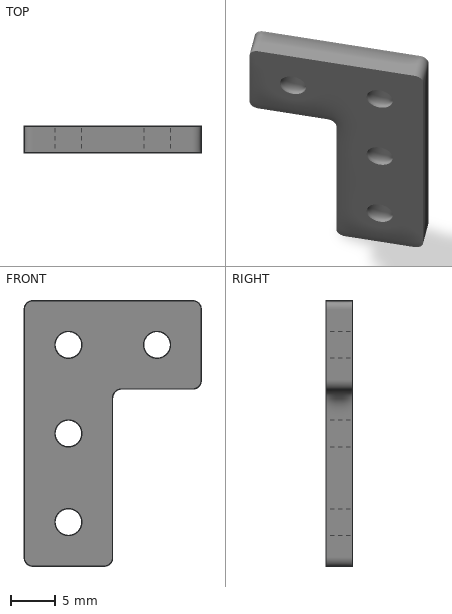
import cadquery as cq

height = 30.0
pitch = height / 3
width = 2 * pitch
thickness = 3.0
corner_radius = 1.0
hole_diameter = 3.0

outline = [
    (0, 0),
    (pitch, 0),
    (pitch, height - pitch),
    (width, height - pitch),
    (width, height),
    (0, height),
]

first_centre = pitch / 2
hole_centres = [(first_centre, first_centre + row * pitch) for row in range(3)]
hole_centres.append((first_centre + pitch, height - first_centre))

plate = cq.Workplane("XZ").polyline(outline).close().extrude(-thickness)
plate = plate.edges("|Y").fillet(corner_radius)

holes = (
    cq.Workplane("XZ")
    .pushPoints(hole_centres)
    .circle(hole_diameter / 2)
    .extrude(-thickness)
)

result = plate.cut(holes)